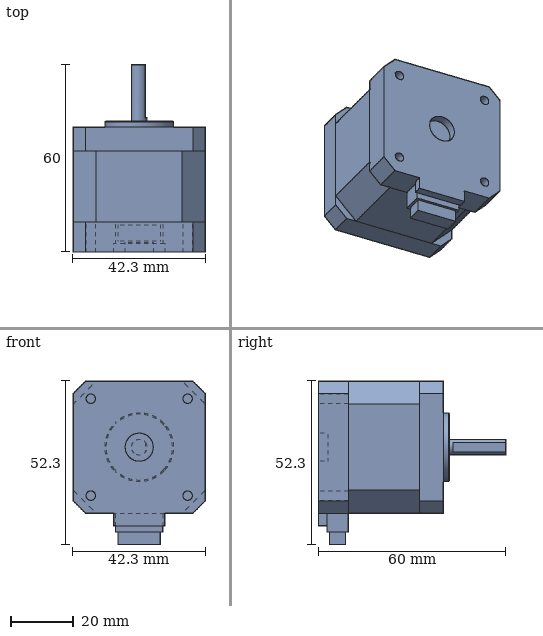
import cadquery as cq

OVERLAP = 1.0

motor_width = 42.3
motor_length = 40.0
rear_cap_length = 9.6
front_cap_length = 7.65
stator_length = motor_length - rear_cap_length - front_cap_length
cap_chamfer = 4.0
stator_chamfer = 7.4

boss_diameter = 22.0
boss_height = 2.0
boss_chamfer = 0.4

shaft_diameter = 5.0
shaft_reach = 20.0
shaft_flat_offset = 2.0
shaft_round_length = 1.0

screw_spacing = 31.0
screw_hole_diameter = 3.0
rear_bore_diameter = 9.0
rear_bore_depth = 3.0

tab_width = 16.4
tab_thickness = 2.7
tab_height = 4.0

socket_width = 15.2
socket_height = 6.0
socket_thickness = rear_cap_length - tab_thickness
plug_width = 13.6
plug_thickness = 5.2
plug_height = 4.0
plug_front_gap = 0.9

cap_bottom_z = -motor_width / 2
front_cap_y = rear_cap_length + stator_length
boss_face_y = motor_length + boss_height


def at_y(y):
    """XZ workplane at the given y; negative extrusion runs toward +Y."""
    return cq.Workplane("XZ", origin=(0, y, 0))


def chamfered_block(y_start, length, chamfer):
    """Square block along Y with its four long edges chamfered."""
    block = at_y(y_start).rect(motor_width, motor_width).extrude(-length)
    return block.edges("|Y").chamfer(chamfer)


def hanging_block(width, y_start, thickness, z_top, height):
    """Box centred on x = 0 that hangs from z_top, its top sunk into the shape above."""
    return cq.Workplane("XY", origin=(0, y_start, z_top - height)).box(
        width, thickness, height + OVERLAP, centered=(True, False, False)
    )


def make_connector():
    socket = hanging_block(
        socket_width, tab_thickness, socket_thickness, cap_bottom_z, socket_height
    )
    plug_y = rear_cap_length - plug_front_gap - plug_thickness
    plug_top_z = cap_bottom_z - socket_height
    plug = hanging_block(plug_width, plug_y, plug_thickness, plug_top_z, plug_height)
    return socket.union(plug)


def make_rear_cap():
    """Rear end cap with its tab, connector, screw holes and central bore."""
    cap = chamfered_block(0, rear_cap_length, cap_chamfer)
    tab = hanging_block(tab_width, 0, tab_thickness, cap_bottom_z, tab_height)
    screw_holes = (
        at_y(0)
        .rect(screw_spacing, screw_spacing, forConstruction=True)
        .vertices()
        .circle(screw_hole_diameter / 2)
        .extrude(-rear_cap_length)
    )
    bore = at_y(0).circle(rear_bore_diameter / 2).extrude(-rear_bore_depth)
    return cap.union(tab).union(make_connector()).cut(screw_holes).cut(bore)


def make_stator():
    return chamfered_block(rear_cap_length, stator_length, stator_chamfer)


def make_shaft():
    """Shaft rising from the boss, with a flat that runs out to the tip."""
    length = shaft_reach - boss_height
    shaft = at_y(boss_face_y - OVERLAP).circle(shaft_diameter / 2).extrude(-length - OVERLAP)
    flat_start_y = boss_face_y + shaft_round_length
    flat_cut = cq.Workplane("XY", origin=(shaft_flat_offset, flat_start_y, 0)).box(
        shaft_diameter, length, shaft_diameter, centered=(False, False, True)
    )
    return shaft.cut(flat_cut)


def make_front_cap():
    """Front end cap with its pilot boss and the output shaft."""
    cap = chamfered_block(front_cap_y, front_cap_length, cap_chamfer)
    boss = at_y(motor_length).circle(boss_diameter / 2).extrude(-boss_height)
    boss = boss.faces(">Y").edges().chamfer(boss_chamfer)
    return cap.union(boss).union(make_shaft())


rear_cap = make_rear_cap()
stator = make_stator()
front_cap = make_front_cap()

result = cq.Compound.makeCompound([rear_cap.val(), stator.val(), front_cap.val()])